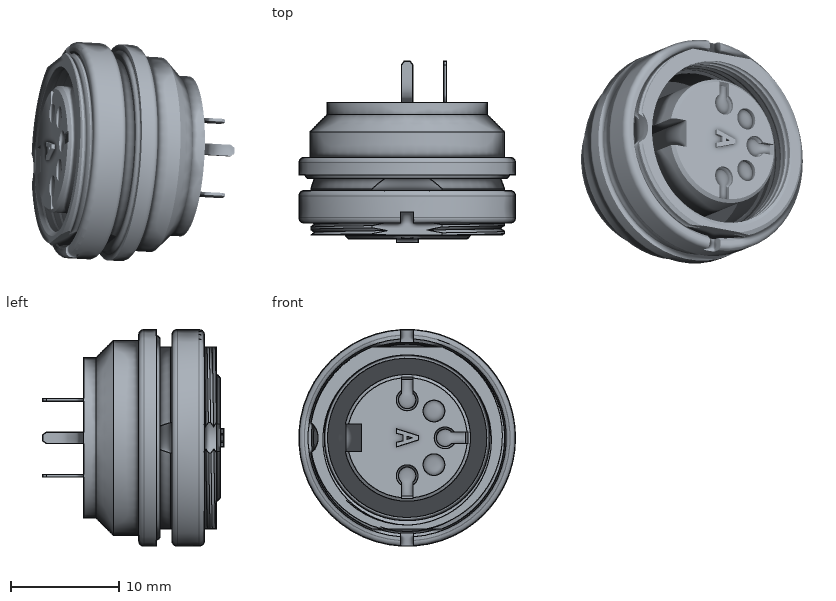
import cadquery as cq


thread_radius = 9.0
runout_start = 4.25
runout_radius = 8.65
seal_front = 5.2
seal_front_radius = 9.15
seal_radius = 9.45
flange_front = 5.55
flange_thickness = 1.62
flange_radius = 10.0
flange_rear = flange_front + flange_thickness
shell_radius = 9.0
shoulder_start = 9.5
shoulder_end = 11.1
rear_radius = 7.4
rear_face = 12.25
edge_round = 0.5

flat_height = 8.4
groove_radius = 1.8
groove_floor = 8.22

thread_pitch = 0.75
thread_depth = 0.4
thread_groove_width = 0.55
outer_thread_start = -0.88
outer_thread_length = 2.25

mouth_radius = 15.3 / 2
mouth_depth = 3.75
socket_radius = 14.7 / 2
socket_depth = flange_rear
inner_thread_depth = 0.4
inner_thread_start = -0.75
inner_thread_start_angle = -90
inner_thread_length = 4.2

ring_front = 1.1
ring_thickness = 3.0
ring_radius = 10.0
ring_bore_front_radius = 18.3 / 2
ring_bore_throat_radius = 8.85
ring_bore_rear_radius = 8.65
spanner_slot_width = 1.2
spanner_slot_depth = 1.0

insert_radius = 5.85
insert_face_radius = 5.55
insert_front = -0.37
key_slot_width = 2.54
key_slot_floor = 4.2
key_step = 5.63
key_slot_depth = 6.0

contact_circle = 3.5
contact_angles = (-90, -45, 0, 45, 90)
pin_angles = (-90, 0, 90)
contact_radius = 1.0
contact_throat_radius = 0.8
contact_depth = 0.5
contact_slot_end = 5.65
contact_slot_floor_end = 5.38
pin_width = 1.05
pin_thickness = 0.27
pin_end = 16.05
pin_tip_length = 0.35
pin_tip_width = 0.55

letter_height = 0.33
letter_foot = -1.0
letter_tip = 1.03
letter_half_width = 0.84
letter_foot_inside = 0.42
letter_bar_rear = -0.39
letter_bar_half_width = 0.27
letter_tip_half_width = 0.2
letter_eye_base = 0.0
letter_eye_end = 0.47
letter_eye_half_width = 0.14

clear_front = -2.0


def turned(profile):
    """Full turn about the Y axis of a closed outline in (radius, Y)."""
    return profile.close().revolve(360, (0, 0, 0), (0, 1, 0))


def disc(radius, start, end):
    """Cylinder on the Y axis."""
    return cq.Workplane("XZ", origin=(0, start, 0)).circle(radius).extrude(start - end)


def block(x_min, x_max, y_min, y_max, z_min, z_max):
    """Box given by its limits."""
    size = (x_max - x_min, y_max - y_min, z_max - z_min)
    return cq.Workplane("XY").box(*size, centered=False).translate((x_min, y_min, z_min))


def around_axis(shape, angle):
    """Turn a shape made on the +X side to an angle, counted from +X toward +Z."""
    return shape.rotate((0, 0, 0), (0, 1, 0), -angle)


def thread_cutter(surface_radius, root_radius, start, length):
    """Helical V groove, open at the surface radius, on the Y axis."""
    depth = root_radius - surface_radius
    overshoot = 0.1
    open_radius = surface_radius - overshoot * depth
    half_width = thread_groove_width * (1 + overshoot) / 2
    helix = cq.Workplane(cq.Wire.makeHelix(thread_pitch, length, surface_radius))
    groove = (
        cq.Workplane("XZ")
        .polyline([(open_radius, -half_width), (root_radius, 0), (open_radius, half_width)])
        .close()
        .sweep(helix, isFrenet=True)
    )
    return groove.rotate((0, 0, 0), (1, 0, 0), -90).translate((0, start, 0))


def make_shell():
    outline = (
        cq.Workplane("XY")
        .moveTo(0, 0)
        .lineTo(thread_radius, 0)
        .lineTo(thread_radius, runout_start)
        .lineTo(runout_radius, seal_front)
        .lineTo(seal_front_radius, seal_front)
        .radiusArc((seal_radius, flange_front), -edge_round)
        .lineTo(flange_radius, flange_front)
        .lineTo(flange_radius, flange_rear - edge_round)
        .radiusArc((flange_radius - edge_round, flange_rear), -edge_round)
        .lineTo(shell_radius, flange_rear)
        .lineTo(shell_radius, shoulder_start)
        .lineTo(rear_radius, shoulder_end)
        .lineTo(rear_radius, rear_face)
        .lineTo(0, rear_face)
    )
    shell = turned(outline)

    outer_root = thread_radius - thread_depth
    outer_thread = thread_cutter(thread_radius, outer_root, outer_thread_start, outer_thread_length)
    shell = shell.cut(outer_thread)

    shell = shell.cut(disc(mouth_radius, clear_front, mouth_depth))
    inner_root = mouth_radius + inner_thread_depth
    inner_thread = thread_cutter(mouth_radius, inner_root, inner_thread_start, inner_thread_length)
    shell = shell.cut(around_axis(inner_thread, inner_thread_start_angle))
    shell = shell.cut(disc(socket_radius, clear_front, socket_depth))

    reach = flange_radius
    shell = shell.cut(block(-reach, reach, clear_front, seal_front, flat_height, reach))
    shell = shell.cut(block(-reach, reach, clear_front, seal_front, -reach, -flat_height))
    groove = disc(groove_radius, clear_front, seal_front)
    return shell.cut(groove.translate((-groove_floor - groove_radius, 0, 0)))


def make_ring():
    ring_rear = ring_front + ring_thickness
    bore_chamfer = ring_bore_front_radius - ring_bore_throat_radius
    outline = (
        cq.Workplane("XY")
        .moveTo(ring_bore_throat_radius, ring_front + bore_chamfer)
        .lineTo(ring_bore_front_radius, ring_front)
        .lineTo(ring_radius - edge_round, ring_front)
        .radiusArc((ring_radius, ring_front + edge_round), -edge_round)
        .lineTo(ring_radius, ring_rear - edge_round)
        .radiusArc((ring_radius - edge_round, ring_rear), -edge_round)
        .lineTo(ring_bore_rear_radius, ring_rear)
    )
    half_slot = spanner_slot_width / 2
    slot_floor = ring_front + spanner_slot_depth
    slots = block(-half_slot, half_slot, clear_front, slot_floor, -ring_radius, ring_radius)
    return turned(outline).cut(slots)


def make_contact_recess():
    """Round contact recess on the +X side."""
    recess = disc(contact_radius, insert_front, insert_front + contact_depth)
    return recess.translate((contact_circle, 0, 0))


def make_pin_recess():
    """Contact recess with a tapered floor and a slot leading out to the insert edge."""
    floor = insert_front + contact_depth
    taper_start = insert_front + contact_depth / 2
    seat = turned(
        cq.Workplane("XY")
        .moveTo(0, insert_front)
        .lineTo(contact_radius, insert_front)
        .lineTo(contact_radius, taper_start)
        .lineTo(contact_throat_radius, floor)
        .lineTo(0, floor)
    ).translate((contact_circle, 0, 0))
    slot = (
        cq.Workplane("XY")
        .polyline(
            [
                (contact_circle, insert_front),
                (contact_slot_end, insert_front),
                (contact_slot_floor_end, floor),
                (contact_circle, floor),
            ]
        )
        .close()
        .extrude(pin_width / 2, both=True)
    )
    return seat.union(slot)


def make_insert():
    bevel = insert_radius - insert_face_radius
    insert = turned(
        cq.Workplane("XY")
        .moveTo(0, insert_front)
        .lineTo(insert_face_radius, insert_front)
        .lineTo(insert_radius, insert_front + bevel)
        .lineTo(insert_radius, socket_depth)
        .lineTo(0, socket_depth)
    )
    half_key = key_slot_width / 2
    insert = insert.cut(
        block(-insert_radius, -key_slot_floor, clear_front, key_slot_depth, -half_key, half_key)
    )
    insert = insert.cut(
        block(-insert_radius, -key_step, clear_front, socket_depth, -half_key, half_key)
    )
    for angle in contact_angles:
        recess = make_pin_recess() if angle in pin_angles else make_contact_recess()
        insert = insert.cut(around_axis(recess, angle))
    return insert


def make_pin():
    """Flat solder pin with a bevelled tip on the +X side."""
    half_width = pin_width / 2
    half_tip = pin_tip_width / 2
    tip_start = pin_end - pin_tip_length
    return (
        cq.Workplane("YZ", origin=(contact_circle, 0, 0))
        .polyline(
            [
                (rear_face, -half_width),
                (tip_start, -half_width),
                (pin_end, -half_tip),
                (pin_end, half_tip),
                (tip_start, half_width),
                (rear_face, half_width),
            ]
        )
        .close()
        .extrude(pin_thickness / 2, both=True)
    )


def make_letter():
    """Letter A with its tip toward +X, raised from the insert face."""
    upper_edge = [
        (letter_tip, letter_tip_half_width),
        (letter_foot, letter_half_width),
        (letter_foot, letter_foot_inside),
        (letter_bar_rear, letter_bar_half_width),
    ]
    lower_edge = [(x, -z) for x, z in reversed(upper_edge)]
    eye = [
        (letter_eye_base, letter_eye_half_width),
        (letter_eye_base, -letter_eye_half_width),
        (letter_eye_end, 0),
    ]
    face = cq.Workplane("XZ", origin=(0, insert_front, 0))
    return face.polyline(upper_edge + lower_edge).close().polyline(eye).close().extrude(letter_height)


result = make_shell().union(make_insert()).union(make_ring()).union(make_letter())
for pin_angle in pin_angles:
    result = result.union(around_axis(make_pin(), pin_angle))